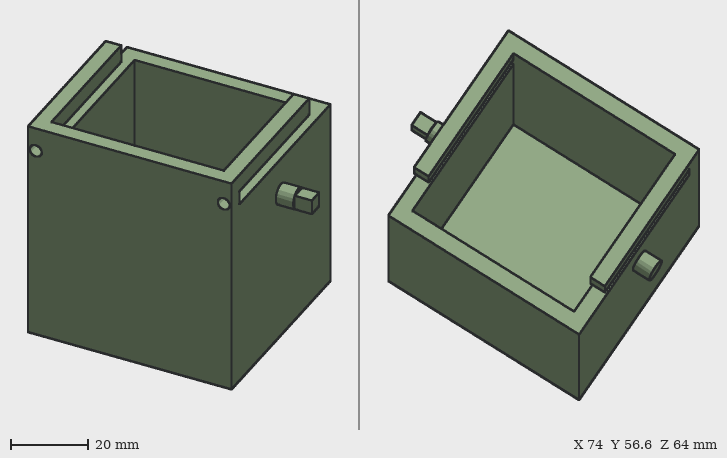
import cadquery as cq

overall_width = 74
box_width = 59.0
box_depth = 56.6
box_height = 64.0
wall = 4.5
floor = wall

arm_length = 44.5
arm_height = 5.1
slot_height = 4.0
rim_height = box_height - arm_height - slot_height

hole_diameter = 3.5
hole_z = 57.05

pin_diameter = 6.0
pin_z = 44.0
pin_length = 5.0
drive_side = 4.2
drive_length = overall_width - box_width - 2 * pin_length

front_y = -box_depth / 2
side_x = box_width / 2


def block(width, depth, height, y_start, z_start):
    """Block centred on X, starting at the given Y and Z."""
    return cq.Workplane("XY").box(width, depth, height, centered=(True, False, False)).translate(
        (0, y_start, z_start)
    )


body = block(box_width, box_depth, rim_height, front_y, 0)
body = body.union(block(box_width, wall, box_height, front_y, 0))
body = body.union(block(box_width, arm_length, arm_height, front_y, box_height - arm_height))

body = body.cut(block(box_width - 2 * wall, box_depth - 2 * wall, box_height, front_y + wall, floor))

hole_x = side_x - wall / 2
holes = (
    cq.Workplane("XZ", origin=(0, front_y + wall, hole_z))
    .pushPoints([(-hole_x, 0), (hole_x, 0)])
    .circle(hole_diameter / 2)
    .extrude(wall)
)
body = body.cut(holes)

for direction in (-1, 1):
    pin = (
        cq.Workplane("YZ", origin=(direction * side_x, 0, pin_z))
        .circle(pin_diameter / 2)
        .extrude(direction * pin_length)
    )
    body = body.union(pin)

drive = (
    cq.Workplane("YZ", origin=(side_x + pin_length, 0, pin_z))
    .rect(drive_side, drive_side)
    .extrude(drive_length)
)
result = body.union(drive)